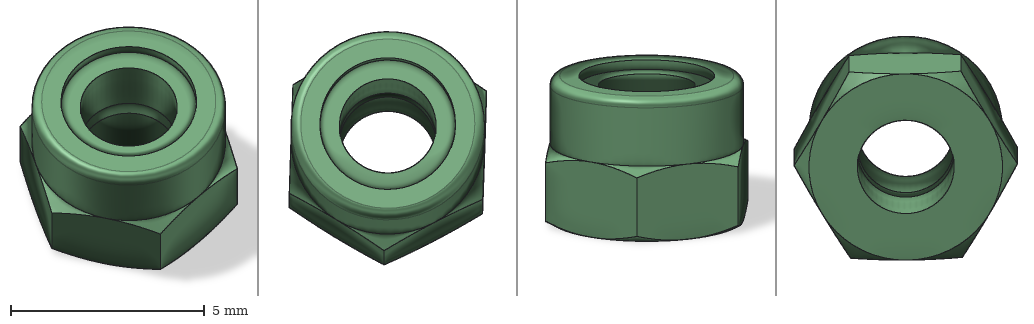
import cadquery as cq
import math

HEX_SIDES = 6
ACROSS_FLATS = 5.0
HEX_HEIGHT = 2.0
TOTAL_HEIGHT = 3.8
CHAMFER_ANGLE = 30.0
COLLAR_DIAMETER = ACROSS_FLATS
COLLAR_EDGE_RADIUS = 0.25
BORE_DIAMETER = 2.5
RECESS_DIAMETER = 3.5
RECESS_DEPTH = 0.25
COUNTERSINK_DIAMETER = 3.0
COUNTERSINK_ANGLE = 60.0

ACROSS_CORNERS = ACROSS_FLATS / math.cos(math.pi / HEX_SIDES)
CORNER_OVERHANG = (ACROSS_CORNERS - ACROSS_FLATS) / 2
CHAMFER_DROP = CORNER_OVERHANG * math.tan(math.radians(CHAMFER_ANGLE))
COUNTERSINK_STEP = (COUNTERSINK_DIAMETER - BORE_DIAMETER) / 2
COUNTERSINK_DEPTH = COUNTERSINK_STEP * math.tan(math.radians(COUNTERSINK_ANGLE))


def hex_body():
    """Hexagon with corners on the X axis, trimmed by cones at both ends."""
    prism = cq.Workplane("XY").polygon(HEX_SIDES, ACROSS_CORNERS).extrude(HEX_HEIGHT)
    flat_radius = ACROSS_FLATS / 2
    corner_radius = ACROSS_CORNERS / 2
    envelope = (
        cq.Workplane("XZ")
        .moveTo(0, 0)
        .lineTo(flat_radius, 0)
        .lineTo(corner_radius, CHAMFER_DROP)
        .lineTo(corner_radius, HEX_HEIGHT - CHAMFER_DROP)
        .lineTo(flat_radius, HEX_HEIGHT)
        .lineTo(0, HEX_HEIGHT)
        .close()
        .revolve(360, (0, 0, 0), (0, 1, 0))
    )
    return prism.intersect(envelope)


def collar():
    """Round collar on top of the hexagon, with a rounded upper edge."""
    return (
        cq.Workplane("XY")
        .workplane(offset=HEX_HEIGHT)
        .circle(COLLAR_DIAMETER / 2)
        .extrude(TOTAL_HEIGHT - HEX_HEIGHT)
        .faces(">Z")
        .edges()
        .fillet(COLLAR_EDGE_RADIUS)
    )


def bore():
    """Through hole along the nut axis."""
    return cq.Workplane("XY").circle(BORE_DIAMETER / 2).extrude(TOTAL_HEIGHT)


def top_recess():
    """Shallow round recess in the top face."""
    return (
        cq.Workplane("XY")
        .workplane(offset=TOTAL_HEIGHT - RECESS_DEPTH)
        .circle(RECESS_DIAMETER / 2)
        .extrude(RECESS_DEPTH)
    )


def inner_countersink():
    """Conical undercut at the top of the hexagon, widest where the collar's bore ends."""
    return (
        cq.Workplane("XY")
        .workplane(offset=HEX_HEIGHT - COUNTERSINK_DEPTH)
        .circle(BORE_DIAMETER / 2)
        .workplane(offset=COUNTERSINK_DEPTH)
        .circle(COUNTERSINK_DIAMETER / 2)
        .loft()
    )


result = (
    hex_body()
    .cut(inner_countersink())
    .union(collar())
    .cut(bore())
    .cut(top_recess())
)